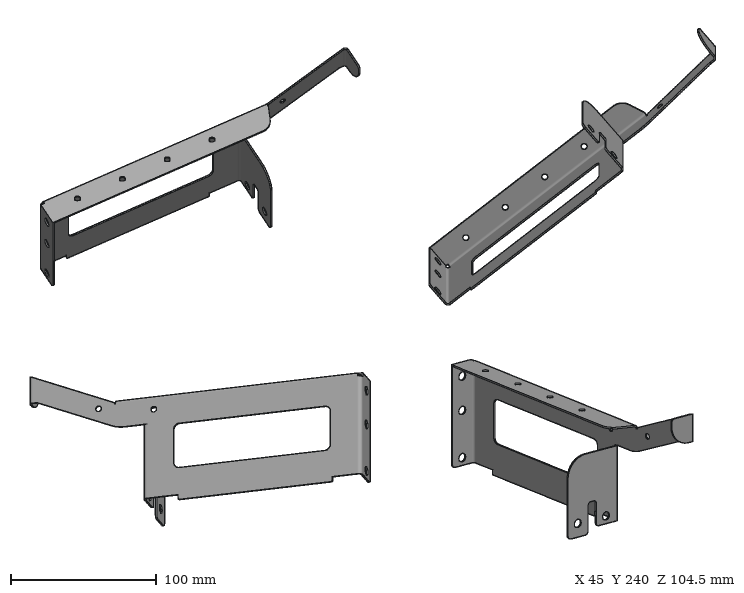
import cadquery as cq
import math

thickness = 1.2
bend_radius = 3.0
flange_width = 20.2
corner_radius = 2.5
overlap = 0.2

length = 240.0
height = 104.5
panel_bottom = 4.3
panel_top = 79.5
tab_bottom = 0.7
tab_start = 21.0
tab_end = 132.5
tab_radius = 1.0
window_start = 22.5
window_end = 135.5
window_bottom = 24.2
window_top = 57.0
window_radius = 4.0

arm_slope = math.tan(math.radians(23.5))
arm_bottom = 59.0
arm_elbow_y = 176.2
arm_elbow_radius = 24.0
arm_notch_y = 178.3
tip_bottom = 84.2
tip_radius = 15.0

top_end = 177.5
top_end_slope = math.tan(math.radians(22))
top_end_radius = 10.0

ear_back = 157.7
ear_width = 45.0
ear_top = arm_bottom
ear_radius = 15.0
ear_corner_radius = 3.0
slot_end = 27.4
slot_top = 23.3
slot_radius = 2.0

large_hole = 6.0
small_hole = 4.0
mount_x = 11.5
mount_heights = (10.0, 44.5, 69.4)
ear_hole_x = 36.5
top_hole_x = 10.0
top_hole_start = 24.7
top_hole_pitch = 35.0
top_hole_count = 4
panel_holes = ((189.8, 74.5), (150.0, 69.4))

bend_top = panel_top - bend_radius


def arm_top(y):
    return height - (length - y) * arm_slope


def quarter_ring(plane, u_sign, v_sign, run):
    """Quarter ring about the plane origin, reaching along the signed plane axes."""
    inner = bend_radius - thickness
    diagonal = math.sqrt(0.5)

    def point(radius, u, v):
        return (u_sign * radius * u, v_sign * radius * v)

    return (
        cq.Workplane(plane)
        .moveTo(*point(bend_radius, 1, 0))
        .threePointArc(point(bend_radius, diagonal, diagonal), point(bend_radius, 0, 1))
        .lineTo(*point(inner, 0, 1))
        .threePointArc(point(inner, diagonal, diagonal), point(inner, 1, 0))
        .close()
        .extrude(run)
    )


def upright_bend(outer_y, y_sign, bottom, top):
    """Bend from the panel into a flange whose outer face lies at outer_y."""
    center = (bend_radius, outer_y - y_sign * bend_radius, bottom)
    return quarter_ring(cq.Plane(center), -1, y_sign, top - bottom)


def top_bend():
    plane = cq.Plane((bend_radius, bend_radius, bend_top), xDir=(1, 0, 0), normal=(0, -1, 0))
    return quarter_ring(plane, -1, 1, -(top_end - bend_radius))


def upright_plate(outline, front_y):
    """Turn an XZ outline into sheet extending toward +Y from front_y."""
    return outline.extrude(-thickness).translate((0, front_y, 0))


def block(x_range, y_range, z_range):
    sizes = [end - start for start, end in (x_range, y_range, z_range)]
    corner = (x_range[0], y_range[0], z_range[0])
    return cq.Workplane("XY").box(*sizes, centered=False).translate(corner)


def side_panel():
    tip_bend_y = length - bend_radius
    ear_bend_y = ear_back - bend_radius
    arm_foot_y = arm_elbow_y + (tip_bottom - arm_bottom) / arm_slope
    panel = (
        cq.Workplane("YZ")
        .moveTo(bend_radius, panel_bottom)
        .lineTo(ear_bend_y, panel_bottom)
        .lineTo(ear_bend_y, arm_bottom)
        .lineTo(arm_elbow_y, arm_bottom)
        .lineTo(arm_foot_y, tip_bottom)
        .lineTo(tip_bend_y, tip_bottom)
        .lineTo(tip_bend_y, arm_top(tip_bend_y))
        .lineTo(arm_notch_y, arm_top(arm_notch_y))
        .lineTo(arm_notch_y, bend_top)
        .lineTo(bend_radius, bend_top)
        .close()
        .extrude(thickness)
    )
    elbow = cq.selectors.NearestToPointSelector((thickness / 2, arm_elbow_y, arm_bottom))
    panel = panel.edges(elbow).fillet(arm_elbow_radius)
    tab = block((0, thickness), (tab_start, tab_end), (tab_bottom, panel_bottom + overlap))
    tab = tab.edges("|X and <Z").fillet(tab_radius)
    window = block((0, thickness), (window_start, window_end), (window_bottom, window_top))
    window = window.edges("|X").fillet(window_radius)
    holes = cq.Workplane("YZ").pushPoints(panel_holes).circle(small_hole / 2).extrude(thickness)
    return panel.union(tab).cut(window).cut(holes)


def top_flange():
    outer_end = top_end - (flange_width - bend_radius) * top_end_slope
    plate = (
        cq.Workplane("XY", origin=(0, 0, panel_top - thickness))
        .moveTo(bend_radius, 0)
        .lineTo(flange_width, 0)
        .lineTo(flange_width, outer_end)
        .lineTo(bend_radius, top_end)
        .close()
        .extrude(thickness)
    )
    corner = cq.selectors.NearestToPointSelector((flange_width, outer_end, panel_top - thickness / 2))
    plate = plate.edges(corner).fillet(top_end_radius)
    centers = [(top_hole_x, top_hole_start + i * top_hole_pitch) for i in range(top_hole_count)]
    holes = cq.Workplane("XY").pushPoints(centers).circle(small_hole / 2).extrude(panel_top)
    return plate.cut(holes).union(top_bend())


def front_flange():
    plate = block((bend_radius, flange_width), (0, thickness), (panel_bottom, panel_top))
    plate = plate.edges("|Y and >X and <Z").fillet(corner_radius)
    centers = [(mount_x, z) for z in mount_heights]
    holes = cq.Workplane("XZ").pushPoints(centers).circle(large_hole / 2).extrude(-thickness)
    return plate.cut(holes).union(upright_bend(0, -1, panel_bottom, bend_top))


def tip_flange():
    plate = block((bend_radius, flange_width), (length - thickness, length), (tip_bottom, height))
    plate = plate.edges("|Y and >X and >Z").fillet(corner_radius)
    corner = cq.selectors.NearestToPointSelector((flange_width, length - thickness / 2, tip_bottom))
    plate = plate.edges(corner).fillet(tip_radius)
    bend_start = length - bend_radius
    above_arm = (
        cq.Workplane("YZ")
        .moveTo(bend_start, arm_top(bend_start))
        .lineTo(length, height)
        .lineTo(bend_start, height)
        .close()
        .extrude(bend_radius)
    )
    bend = upright_bend(length, 1, tip_bottom, height).cut(above_arm)
    return plate.union(bend)


def ear():
    outline = (
        cq.Workplane("XZ")
        .moveTo(bend_radius, panel_bottom)
        .lineTo(flange_width - corner_radius, panel_bottom)
        .radiusArc((flange_width, panel_bottom + corner_radius), -corner_radius)
        .lineTo(flange_width, slot_top - slot_radius)
        .radiusArc((flange_width + slot_radius, slot_top), slot_radius)
        .lineTo(slot_end - slot_radius, slot_top)
        .radiusArc((slot_end, slot_top - slot_radius), slot_radius)
        .lineTo(slot_end, ear_corner_radius)
        .radiusArc((slot_end + ear_corner_radius, 0), -ear_corner_radius)
        .lineTo(ear_width - ear_corner_radius, 0)
        .radiusArc((ear_width, ear_corner_radius), -ear_corner_radius)
        .lineTo(ear_width, ear_top - ear_radius)
        .radiusArc((ear_width - ear_radius, ear_top), -ear_radius)
        .lineTo(bend_radius, ear_top)
        .close()
    )
    front_y = ear_back - thickness
    centers = [(x, mount_heights[0]) for x in (mount_x, ear_hole_x)]
    holes = cq.Workplane("XZ").pushPoints(centers).circle(large_hole / 2)
    plate = upright_plate(outline, front_y).cut(upright_plate(holes, front_y))
    return plate.union(upright_bend(ear_back, 1, panel_bottom, ear_top))


result = side_panel()
for flange in (top_flange(), front_flange(), tip_flange(), ear()):
    result = result.union(flange)